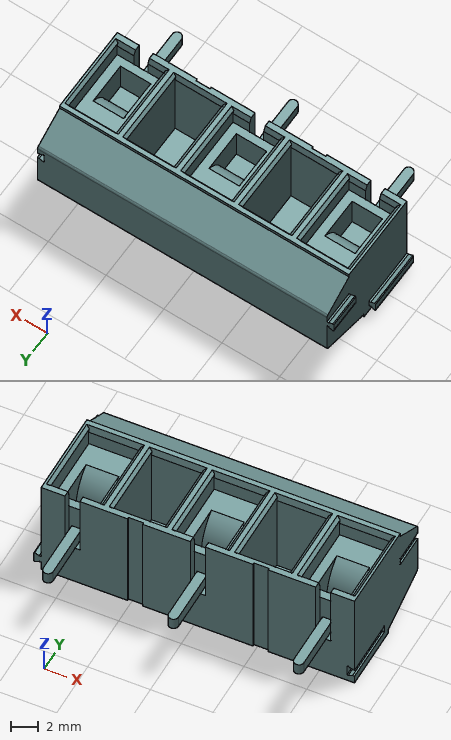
import cadquery as cq
import math


housing_width = 25.0
housing_depth = 10.2
housing_height = 8.6
roof_edge_y = 7.37
roof_lip = 0.3
roof_angle = 30
foot_depth = 5.45
foot_lip = 0.33
underside_angle = 20
back_edge_radius = 0.25

cell_count = 5
cell_pitch = housing_width / cell_count
cell_width = 4.1
cell_front_y = 0.7
cell_back_y = 6.75
side_bevel = 0.25
end_bevel_width = 0.2
end_bevel_height = 0.5
terminal_floor_z = 6.89
empty_floor_z = 1.28

pocket_width = 2.6
pocket_front_y = 1.35
pocket_back_y = 4.85
ramp_length = 1.65
ramp_radius = 3.3

pin_width = 0.8
pin_height = 0.97
pin_length = 4.3
pin_bottom_z = 3.95
slot_width = 1.2
slot_bottom_z = 3.5

groove_width = 1.2
groove_depth = 0.15

tail_length = 0.6
tail_neck_length = 0.15
tail_bulge_length = 0.5
tail_neck_half = 0.3
tail_bulge_half = 0.49
tail_tip_half = 0.4
lower_tail_z = 1.02
lower_tail_depth = 4.85
upper_tail_z = 5.63

cell_centers = [(i + 0.5) * cell_pitch for i in range(cell_count)]
terminal_centers = cell_centers[0::2]
empty_centers = cell_centers[1::2]


def box(x_center, width, y_min, y_max, z_min, z_max):
    """Box centred on x_center, between the given Y and Z limits."""
    return cq.Workplane("XY", origin=(x_center, y_min, z_min)).box(
        width, y_max - y_min, z_max - z_min, centered=(True, False, False)
    )


def housing():
    back_top_z = housing_height - roof_lip - (housing_depth - roof_edge_y) * math.tan(math.radians(roof_angle))
    back_bottom_z = foot_lip + (housing_depth - foot_depth) * math.tan(math.radians(underside_angle))
    return (
        cq.Workplane("YZ")
        .moveTo(0, 0)
        .lineTo(foot_depth, 0)
        .lineTo(foot_depth, foot_lip)
        .lineTo(housing_depth, back_bottom_z)
        .lineTo(housing_depth, back_top_z)
        .lineTo(roof_edge_y, housing_height - roof_lip)
        .lineTo(roof_edge_y, housing_height)
        .lineTo(0, housing_height)
        .close()
        .extrude(housing_width)
        .faces(">Y")
        .edges("|X")
        .fillet(back_edge_radius)
    )


def bevelled_prism(plane, center, width, bevel_width, bevel_height, floor_z):
    """Long prism, symmetric about its plane, whose width grows over the bevel just below the top."""
    half = width / 2
    bevel_z = housing_height - bevel_height
    return (
        cq.Workplane(plane, origin=center)
        .moveTo(-half, floor_z)
        .lineTo(half, floor_z)
        .lineTo(half, bevel_z)
        .lineTo(half + bevel_width, housing_height)
        .lineTo(-half - bevel_width, housing_height)
        .lineTo(-half, bevel_z)
        .close()
        .extrude(housing_depth, both=True)
    )


def cell(x_center, floor_z):
    """Rectangular cell with a bevelled rim, steeper at the two ends than at the sides."""
    center = (x_center, (cell_front_y + cell_back_y) / 2, 0)
    cell_depth = cell_back_y - cell_front_y
    across = bevelled_prism("XZ", center, cell_width, side_bevel, side_bevel, floor_z)
    along = bevelled_prism("YZ", center, cell_depth, end_bevel_width, end_bevel_height, floor_z)
    return across.intersect(along)


def clamp_pocket(x_center):
    """Pocket whose back is a convex ramp that ends vertical at the pocket floor."""
    ramp_foot_y = pocket_back_y - ramp_length
    axis_y = ramp_foot_y + ramp_radius
    ramp_drop = math.sqrt(ramp_radius**2 - (axis_y - pocket_back_y) ** 2)
    floor_z = terminal_floor_z - ramp_drop
    middle_angle = math.asin(ramp_drop / ramp_radius) / 2
    ramp_middle = (
        axis_y - ramp_radius * math.cos(middle_angle),
        floor_z + ramp_radius * math.sin(middle_angle),
    )
    return (
        cq.Workplane("YZ", origin=(x_center, 0, 0))
        .moveTo(pocket_front_y, terminal_floor_z)
        .lineTo(pocket_front_y, floor_z)
        .lineTo(ramp_foot_y, floor_z)
        .threePointArc(ramp_middle, (pocket_back_y, terminal_floor_z))
        .close()
        .extrude(pocket_width / 2, both=True)
    )


def pin_slot(x_center):
    return box(x_center, slot_width, 0, cell_front_y, slot_bottom_z, housing_height)


def pin(x_center):
    """Flat bar with a half-round tip, starting inside the slot."""
    half_width = pin_width / 2
    return (
        cq.Workplane("XY", origin=(x_center, 0, pin_bottom_z))
        .moveTo(half_width, cell_front_y)
        .lineTo(half_width, half_width - pin_length)
        .threePointArc((0, -pin_length), (-half_width, half_width - pin_length))
        .lineTo(-half_width, cell_front_y)
        .close()
        .extrude(pin_height)
    )


def front_groove(x_center):
    return box(x_center, groove_width, 0, groove_depth, 0, housing_height)


def dovetail(root_x, z_center, y_min, y_max):
    """Dovetail bar along Y that reaches from root_x towards -X."""
    upper_half = [
        (0, tail_neck_half),
        (-tail_neck_length, tail_neck_half),
        (-tail_bulge_length, tail_bulge_half),
        (-tail_length, tail_tip_half),
    ]
    lower_half = [(x, -z) for x, z in reversed(upper_half)]
    return (
        cq.Workplane("XZ", origin=(root_x, y_max, z_center))
        .polyline(upper_half + lower_half)
        .close()
        .extrude(y_max - y_min)
    )


def dovetail_pair(root_x):
    lower = dovetail(root_x, lower_tail_z, 0, lower_tail_depth)
    upper = dovetail(root_x, upper_tail_z, roof_edge_y, housing_depth)
    return lower.union(upper)


result = housing()
for center in terminal_centers:
    result = result.cut(cell(center, terminal_floor_z))
    result = result.cut(clamp_pocket(center))
    result = result.cut(pin_slot(center))
    result = result.union(pin(center))
for center in empty_centers:
    result = result.cut(cell(center, empty_floor_z))
    result = result.cut(front_groove(center))
result = result.cut(dovetail_pair(housing_width))
result = result.union(dovetail_pair(0))